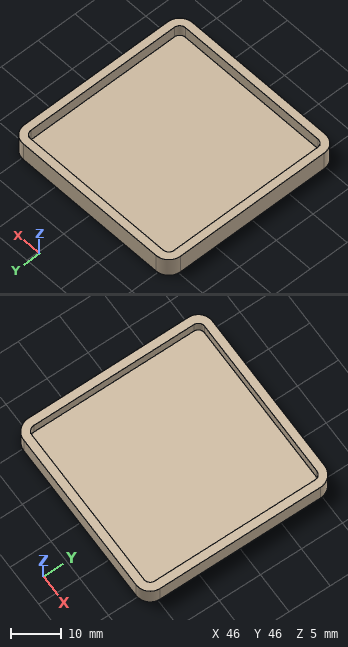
import cadquery as cq

side = 46.0
height = 5.0
corner_radius = 3.5

wall = 2.0
floor = 2.0
recess_side = side - 2 * wall
recess_depth = height - floor
recess_radius = corner_radius - wall


def rounded_block(width, thickness, radius, base_z):
    """Square block with rounded vertical corners, standing on base_z."""
    return (
        cq.Workplane("XY")
        .workplane(offset=base_z)
        .rect(width, width)
        .extrude(thickness)
        .edges("|Z")
        .fillet(radius)
    )


tray = rounded_block(side, height, corner_radius, 0)
recess = rounded_block(recess_side, recess_depth, recess_radius, floor)

result = tray.cut(recess)